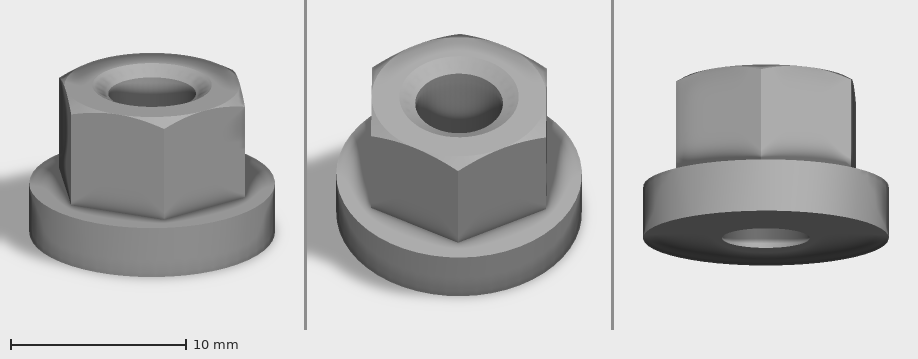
import cadquery as cq
import math

flange_diameter = 14.0
flange_height = 3.0
total_height = 9.0
across_flats = 9.97
bore_diameter = 5.0
countersink_diameter = 6.8
cone_slope_deg = 30.0

cone_slope = math.tan(math.radians(cone_slope_deg))
across_corners = across_flats / math.cos(math.radians(30))
corner_drop = (across_corners - across_flats) / 2 * cone_slope
countersink_depth = (countersink_diameter - bore_diameter) / 2 * cone_slope


def make_flange():
    return cq.Workplane("XY").circle(flange_diameter / 2).extrude(flange_height)


def make_hexagon():
    """Hexagon with flats facing +X and -X and conically chamfered corners."""
    prism = (
        cq.Workplane("XY")
        .polygon(6, across_corners)
        .extrude(total_height)
        .rotate((0, 0, 0), (0, 0, 1), 30)
    )
    envelope = (
        cq.Workplane("XZ")
        .lineTo(across_corners / 2, 0)
        .lineTo(across_corners / 2, total_height - corner_drop)
        .lineTo(across_flats / 2, total_height)
        .lineTo(0, total_height)
        .close()
        .revolve(360, (0, 0, 0), (0, 1, 0))
    )
    return prism.intersect(envelope)


def make_bore():
    """Through bore with a conical countersink at the top."""
    return (
        cq.Workplane("XZ")
        .lineTo(bore_diameter / 2, 0)
        .lineTo(bore_diameter / 2, total_height - countersink_depth)
        .lineTo(countersink_diameter / 2, total_height)
        .lineTo(0, total_height)
        .close()
        .revolve(360, (0, 0, 0), (0, 1, 0))
    )


result = make_flange().union(make_hexagon()).cut(make_bore())